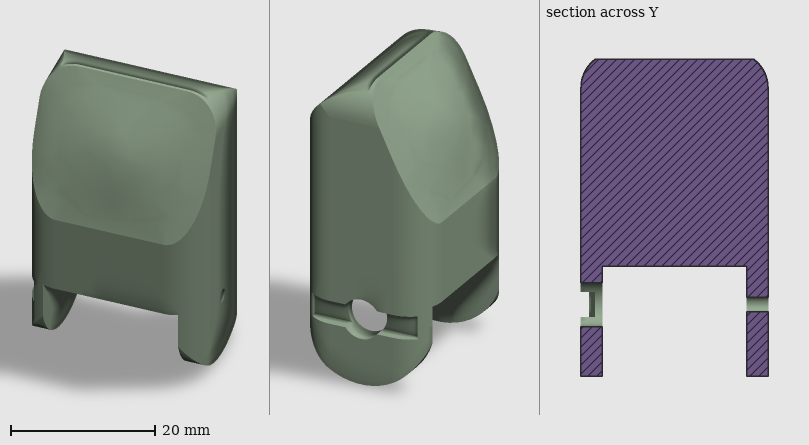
import cadquery as cq
import math

width = 26.0
depth = 20.0
height = 45.0
corner_radius = 5.0
half_depth = depth / 2

dome_top = 44.0
dome_center_z = dome_top - half_depth
pivot_z = half_depth

fork_width = 20.0
leg_thickness = (width - fork_width) / 2
fork_front_z = 12.8
fork_back_z = 25.95

left_hole_radius = 3.0
right_hole_radius = 1.0
groove_length = 16.4
groove_height = 3.5
groove_depth = 2.0

lip_thickness = 0.4
pad_bottom_z = 24.98
pad_crown_y = -6.98
pad_crown_z = 36.05


def rounded_block():
    """Block with rounded vertical corners and rounded top side edges."""
    block = cq.Workplane("XY").box(width, depth, height, centered=(True, True, False))
    block = block.edges("|Z").fillet(corner_radius)
    arch = cq.Workplane("XY").box(width, depth, height, centered=(True, True, False))
    arch = arch.faces(">Z").edges("|Y").fillet(corner_radius)
    return block.intersect(arch)


def side_profile():
    """Prism with a round bottom, a domed back and a flat slant at the front."""
    diagonal = half_depth * math.sqrt(0.5)
    return (
        cq.Workplane("YZ", origin=(-width / 2, 0, 0))
        .moveTo(-half_depth, pivot_z)
        .threePointArc((0, 0), (half_depth, pivot_z))
        .lineTo(half_depth, dome_center_z)
        .threePointArc((diagonal, dome_center_z + diagonal), (0, dome_top))
        .lineTo(0, height)
        .lineTo(-lip_thickness, height)
        .lineTo(-half_depth, pad_bottom_z)
        .close()
        .extrude(width)
    )


def crown_front(body):
    """Replace the flat slanted front face with a crowned pad on the same rim."""
    slant = cq.Vector(0, pad_bottom_z - height, half_depth - lip_thickness).normalized()
    flat = max(body.faces().vals(), key=lambda face: face.normalAt().dot(slant))
    crown = cq.Face.makeNSidedSurface(
        flat.outerWire().Edges(), [cq.Vector(0, pad_crown_y, pad_crown_z)]
    )
    other_faces = [face for face in body.faces().vals() if not face.isSame(flat)]
    return cq.Workplane(cq.Solid.makeSolid(cq.Shell.makeShell(other_faces + [crown])).fix())


def fork_opening():
    """Gap between the legs, its roof curving up from level at the front to the back."""
    rise = fork_back_z - fork_front_z
    roof_radius = (depth**2 + rise**2) / (2 * rise)
    middle_rise = roof_radius - math.sqrt(roof_radius**2 - half_depth**2)
    roof_middle = (0, fork_front_z + middle_rise)
    return (
        cq.Workplane("YZ", origin=(-fork_width / 2, 0, 0))
        .moveTo(-half_depth, 0)
        .lineTo(-half_depth, fork_front_z)
        .threePointArc(roof_middle, (half_depth, fork_back_z))
        .lineTo(half_depth, 0)
        .close()
        .extrude(fork_width)
    )


def pivot_hole(radius, leg_inner_x, direction):
    """Cylinder along X from the inner face of one leg to its outer face."""
    start = cq.Workplane("YZ", origin=(leg_inner_x, 0, pivot_z))
    return start.circle(radius).extrude(direction * leg_thickness)


def leg_groove():
    """Horizontal groove in the outer face of the left leg."""
    return cq.Workplane("XY").box(groove_depth, groove_length, groove_height).translate(
        (-width / 2 + groove_depth / 2, 0, pivot_z)
    )


body = rounded_block().intersect(side_profile())
body = crown_front(body)
body = body.cut(fork_opening())
body = body.cut(pivot_hole(left_hole_radius, -fork_width / 2, -1))
body = body.cut(pivot_hole(right_hole_radius, fork_width / 2, 1))
result = body.cut(leg_groove())